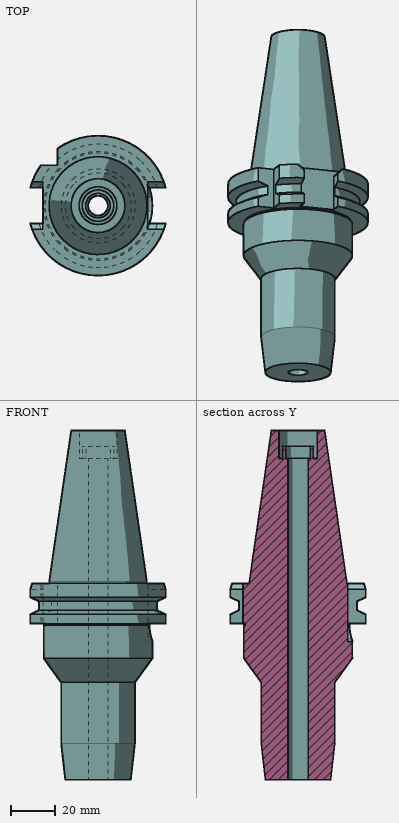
import cadquery as cq

TOTAL_LENGTH = 158.4
TAPER_LENGTH = 68.5
COLLAR_HEIGHT = 1.0
FLANGE_BOTTOM = 70.8
GROOVE_CENTER = 78.9
GROOVE_ROOT_WIDTH = 4.0
GROOVE_SIDE_HEIGHT = 1.9
NECK_HEIGHT = 0.8
BODY_BOTTOM = 55.1
NOSE_TOP = 44.2
NOSE_TAPER_HEIGHT = 16.6

TAPER_TOP_RADIUS = 12.2
TAPER_BASE_RADIUS = 22.2
FLANGE_DIAMETER = 63.5
FLANGE_RADIUS = FLANGE_DIAMETER / 2
GROOVE_RADIUS = 28.0
NECK_RADIUS = 24.0
BODY_RADIUS = 24.7
NOSE_RADIUS = 16.8
NOSE_TIP_RADIUS = 14.9

SLOT_WIDTH = 16.2
SLOT_CHAMFER = 2.7
LEFT_SLOT_FLOOR = 25.0
RIGHT_SLOT_FLOOR = 22.7

NOTCH_INNER = 18.4

TOP_BORE_RADIUS = 8.5
TOP_BORE_DEPTH = 12.7
TUBE_OUTER_RADIUS = 7.1
TUBE_INNER_RADIUS = 5.5
TUBE_TOP_DEPTH = 7.1
THROUGH_RADIUS = 4.5

GAUGE_PLANE = TOTAL_LENGTH - TAPER_LENGTH
FLANGE_TOP = GAUGE_PLANE - COLLAR_HEIGHT
FLANGE_HEIGHT = FLANGE_TOP - FLANGE_BOTTOM
NECK_BOTTOM = FLANGE_BOTTOM - NECK_HEIGHT


def make_holder():
    """Revolve the taper, grooved flange, body and nose about Z."""
    root_half = GROOVE_ROOT_WIDTH / 2
    mouth_half = root_half + GROOVE_SIDE_HEIGHT
    profile = [
        (0, 0),
        (NOSE_TIP_RADIUS, 0),
        (NOSE_RADIUS, NOSE_TAPER_HEIGHT),
        (NOSE_RADIUS, NOSE_TOP),
        (BODY_RADIUS, BODY_BOTTOM),
        (BODY_RADIUS, NECK_BOTTOM),
        (NECK_RADIUS, NECK_BOTTOM),
        (NECK_RADIUS, FLANGE_BOTTOM),
        (FLANGE_RADIUS, FLANGE_BOTTOM),
        (FLANGE_RADIUS, GROOVE_CENTER - mouth_half),
        (GROOVE_RADIUS, GROOVE_CENTER - root_half),
        (GROOVE_RADIUS, GROOVE_CENTER + root_half),
        (FLANGE_RADIUS, GROOVE_CENTER + mouth_half),
        (FLANGE_RADIUS, FLANGE_TOP),
        (TAPER_BASE_RADIUS, FLANGE_TOP),
        (TAPER_BASE_RADIUS, GAUGE_PLANE),
        (TAPER_TOP_RADIUS, TOTAL_LENGTH),
        (0, TOTAL_LENGTH),
    ]
    return cq.Workplane("XZ").polyline(profile).close().revolve(360, (0, 0), (0, 1))


def make_slot(side, floor):
    """Drive slot with flared top edges; side is -1 for -X and +1 for +X."""
    half = SLOT_WIDTH / 2
    flared_half = half + SLOT_CHAMFER
    flare_bottom = FLANGE_TOP - SLOT_CHAMFER
    outline = [
        (-half, FLANGE_BOTTOM),
        (half, FLANGE_BOTTOM),
        (half, flare_bottom),
        (flared_half, FLANGE_TOP),
        (-flared_half, FLANGE_TOP),
        (-half, flare_bottom),
    ]
    slot = cq.Workplane("YZ").polyline(outline).close().extrude(side * FLANGE_RADIUS)
    return slot.translate((side * floor, 0, 0))


def make_slot_end():
    """Rounded lower end of the +X slot, running below the flange into the body."""
    end = cq.Workplane("YZ").circle(SLOT_WIDTH / 2).extrude(FLANGE_RADIUS)
    below_flange = cq.Workplane("XY").box(
        FLANGE_RADIUS, SLOT_WIDTH, SLOT_WIDTH / 2, centered=(False, True, False)
    )
    end = end.intersect(below_flange.translate((0, 0, -SLOT_WIDTH / 2)))
    return end.translate((RIGHT_SLOT_FLOOR, 0, FLANGE_BOTTOM))


def make_notch():
    """Square corner notch on the -X, +Y side of the flange."""
    notch = cq.Workplane("XY").box(FLANGE_RADIUS, FLANGE_RADIUS, FLANGE_HEIGHT, centered=False)
    return notch.translate((-NOTCH_INNER - FLANGE_RADIUS, NOTCH_INNER, FLANGE_BOTTOM))


def make_bore():
    """Through hole and top bore, leaving the coolant tube standing."""
    floor = cq.Workplane("XY", origin=(0, 0, TOTAL_LENGTH - TOP_BORE_DEPTH))
    top_bore = floor.circle(TOP_BORE_RADIUS).extrude(TOP_BORE_DEPTH)
    tube_height = TOP_BORE_DEPTH - TUBE_TOP_DEPTH
    tube = floor.circle(TUBE_OUTER_RADIUS).circle(TUBE_INNER_RADIUS).extrude(tube_height)
    through_hole = cq.Workplane("XY").circle(THROUGH_RADIUS).extrude(TOTAL_LENGTH)
    return top_bore.cut(tube).union(through_hole)


result = (
    make_holder()
    .cut(make_slot(-1, LEFT_SLOT_FLOOR))
    .cut(make_slot(1, RIGHT_SLOT_FLOOR))
    .cut(make_slot_end())
    .cut(make_notch())
    .cut(make_bore())
)